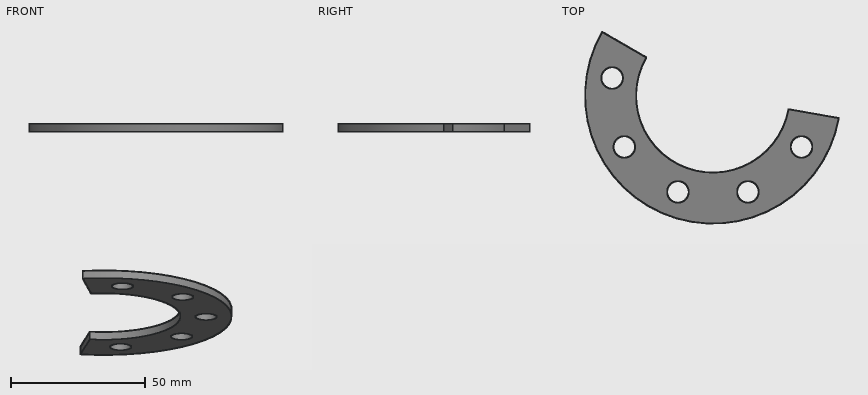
import cadquery as cq
import math

overall_length = 94.5
inner_radius = 28.55
thickness = 3.0
start_angle = 150
sweep_angle = 200
end_angle = start_angle + sweep_angle
middle_angle = start_angle + sweep_angle / 2

outer_radius = overall_length / (1 + math.cos(math.radians(end_angle)))

hole_diameter = 7.9
hole_count = 5
hole_spacing = sweep_angle / hole_count
hole_circle_radius = (outer_radius + inner_radius) / 2


def polar(radius, angle):
    """Point at the given radius and angle in degrees about the ring axis."""
    radians = math.radians(angle)
    return (radius * math.cos(radians), radius * math.sin(radians))


ring_segment = (
    cq.Workplane("XY")
    .moveTo(*polar(outer_radius, start_angle))
    .threePointArc(polar(outer_radius, middle_angle), polar(outer_radius, end_angle))
    .lineTo(*polar(inner_radius, end_angle))
    .threePointArc(polar(inner_radius, middle_angle), polar(inner_radius, start_angle))
    .close()
    .extrude(thickness)
)

hole_centers = [
    polar(hole_circle_radius, start_angle + (index + 0.5) * hole_spacing)
    for index in range(hole_count)
]
holes = (
    cq.Workplane("XY")
    .pushPoints(hole_centers)
    .circle(hole_diameter / 2)
    .extrude(thickness)
)

result = ring_segment.cut(holes)